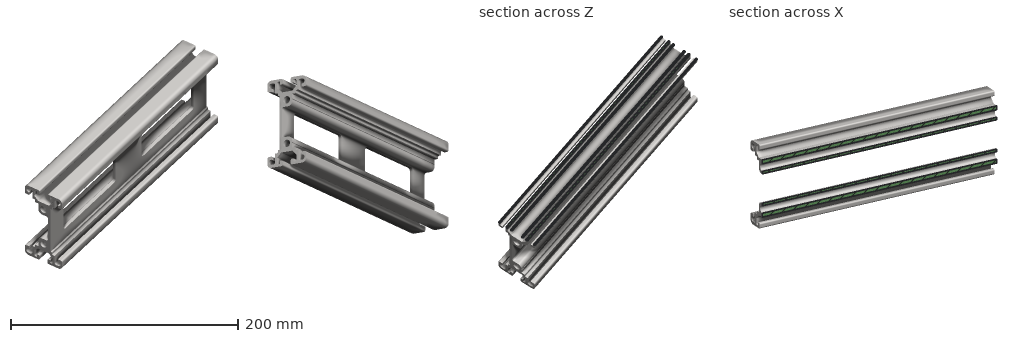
import cadquery as cq

LENGTH = 240.0
WIDTH = LENGTH / 6
HEIGHT = LENGTH / 3
HALF_WIDTH = WIDTH / 2
HALF_HEIGHT = HEIGHT / 2

SLOT_HALF_OPENING = 4.0
LIP_THICKNESS = 3.0
LIP_DEPTH = 5.3
LIP_ROUND = 1.5
FLANGE_THICKNESS = 2.2
POCKET_HALF_WIDTH = 9.8
POCKET_ROUND = 1.5
POCKET_FLOOR_HALF_WIDTH = 5.8
POCKET_FLOOR_DEPTH = 12.5
POCKET_BEVEL = POCKET_HALF_WIDTH - POCKET_FLOOR_HALF_WIDTH

WALL_HALF_WIDTH = 12.0
OUTER_ROUND = 4.0
HOOK_DEPTH = 10.3
HOOK_ROUND = 1.7
HOOK_TIP_INSET = 4.5
HOOK_CAVITY_DEPTH = 3.0
HOOK_CAVITY_RADIUS = 2.28
HOOK_CAVITY_INSET = 1.7
HOOK_CAVITY_ROUND = 1.7
SHOULDER_HALF_WIDTH = 9.0
SHOULDER_DEPTH = 15.4
SHOULDER_FILLET = 1.0
SHOULDER_CHAMFER = 0.5

BOSS_LEFT = -5.5
BOSS_DEPTH = 26.2
BOSS_ROUND = 4.3
BORE_DIAMETER = 6.7
BORE_DEPTH = HEIGHT / 4
BOSS_GROOVE_WIDTH = 0.7
BOSS_GROOVE_DEPTH = 0.35
WEB_LEFT = 4.8
WEB_RIGHT = 7.7
WEB_FILLET = 2.0
WINDOW_LENGTH = LENGTH / 3
WINDOW_HEIGHT = 26.6
WINDOW_ROUND = 3.0
WINDOW_Y = LENGTH / 4


def level(depth):
    """Height at the given depth below the top face."""
    return HALF_HEIGHT - depth


def section():
    """Sketch plane across the profile: local axes are X and Z."""
    return cq.Workplane("XZ")


def extrude(outline):
    return outline.extrude(LENGTH / 2, both=True)


def half_head():
    """Right half of the slotted head, from the slot centre to the side hook."""
    lip_outer = SLOT_HALF_OPENING + LIP_THICKNESS
    hook_tip = HALF_WIDTH - HOOK_TIP_INSET
    cavity_end = HALF_WIDTH - HOOK_CAVITY_INSET - HOOK_CAVITY_RADIUS
    cavity_bottom = HOOK_CAVITY_DEPTH + 2 * HOOK_CAVITY_RADIUS
    outline = (
        section()
        .moveTo(0, level(POCKET_FLOOR_DEPTH))
        .lineTo(POCKET_FLOOR_HALF_WIDTH, level(POCKET_FLOOR_DEPTH))
        .lineTo(POCKET_HALF_WIDTH, level(POCKET_FLOOR_DEPTH - POCKET_BEVEL))
        .lineTo(POCKET_HALF_WIDTH, level(FLANGE_THICKNESS + POCKET_ROUND))
        .tangentArcPoint((POCKET_HALF_WIDTH - POCKET_ROUND, level(FLANGE_THICKNESS)), relative=False)
        .lineTo(lip_outer, level(FLANGE_THICKNESS))
        .lineTo(lip_outer, level(LIP_DEPTH))
        .lineTo(SLOT_HALF_OPENING + LIP_ROUND, level(LIP_DEPTH))
        .tangentArcPoint((SLOT_HALF_OPENING, level(LIP_DEPTH - LIP_ROUND)), relative=False)
        .lineTo(SLOT_HALF_OPENING, level(LIP_ROUND))
        .tangentArcPoint((SLOT_HALF_OPENING + LIP_ROUND, level(0)), relative=False)
        .lineTo(HALF_WIDTH - OUTER_ROUND, level(0))
        .tangentArcPoint((HALF_WIDTH, level(OUTER_ROUND)), relative=False)
        .lineTo(HALF_WIDTH, level(HOOK_DEPTH - HOOK_ROUND))
        .tangentArcPoint((HALF_WIDTH - HOOK_ROUND, level(HOOK_DEPTH)), relative=False)
        .lineTo(hook_tip, level(HOOK_DEPTH))
        .lineTo(hook_tip, level(cavity_bottom))
        .lineTo(cavity_end, level(cavity_bottom))
        .tangentArcPoint((cavity_end, level(HOOK_CAVITY_DEPTH)), relative=False)
        .lineTo(WALL_HALF_WIDTH + HOOK_CAVITY_ROUND, level(HOOK_CAVITY_DEPTH))
        .tangentArcPoint((WALL_HALF_WIDTH, level(HOOK_CAVITY_DEPTH + HOOK_CAVITY_ROUND)), relative=False)
        .lineTo(WALL_HALF_WIDTH, level(POCKET_FLOOR_DEPTH))
        .lineTo(SHOULDER_HALF_WIDTH + SHOULDER_FILLET, level(POCKET_FLOOR_DEPTH))
        .tangentArcPoint((SHOULDER_HALF_WIDTH, level(POCKET_FLOOR_DEPTH + SHOULDER_FILLET)), relative=False)
        .lineTo(SHOULDER_HALF_WIDTH, level(SHOULDER_DEPTH - SHOULDER_CHAMFER))
        .lineTo(SHOULDER_HALF_WIDTH - SHOULDER_CHAMFER, level(SHOULDER_DEPTH))
        .lineTo(0, level(SHOULDER_DEPTH))
        .close()
    )
    return extrude(outline)


def boss_and_half_web():
    """Screw boss with its bore, and the web from the boss to mid-height."""
    outline = (
        section()
        .moveTo(WEB_RIGHT, level(POCKET_FLOOR_DEPTH))
        .lineTo(BOSS_LEFT, level(POCKET_FLOOR_DEPTH))
        .lineTo(BOSS_LEFT, level(BORE_DEPTH - BOSS_GROOVE_WIDTH / 2))
        .lineTo(BOSS_LEFT + BOSS_GROOVE_DEPTH, level(BORE_DEPTH))
        .lineTo(BOSS_LEFT, level(BORE_DEPTH + BOSS_GROOVE_WIDTH / 2))
        .lineTo(BOSS_LEFT, level(BOSS_DEPTH - BOSS_ROUND))
        .tangentArcPoint((BOSS_LEFT + BOSS_ROUND, level(BOSS_DEPTH)), relative=False)
        .lineTo(WEB_LEFT - WEB_FILLET, level(BOSS_DEPTH))
        .tangentArcPoint((WEB_LEFT, level(BOSS_DEPTH + WEB_FILLET)), relative=False)
        .lineTo(WEB_LEFT, 0)
        .lineTo(WEB_RIGHT, 0)
        .close()
    )
    bore = section().center(0, level(BORE_DEPTH)).circle(BORE_DIAMETER / 2)
    return extrude(outline).cut(extrude(bore))


def windows():
    """Two rounded rectangular openings through the web."""
    return (
        cq.Workplane("YZ")
        .pushPoints([(-WINDOW_Y, 0), (WINDOW_Y, 0)])
        .rect(WINDOW_LENGTH, WINDOW_HEIGHT)
        .extrude(HALF_WIDTH)
        .edges("|X")
        .fillet(WINDOW_ROUND)
    )


right_half_head = half_head()
head = right_half_head.union(right_half_head.mirror("YZ"))
upper_half = head.union(boss_and_half_web())
profile = upper_half.union(upper_half.mirror("XY")).clean()
result = profile.cut(windows())